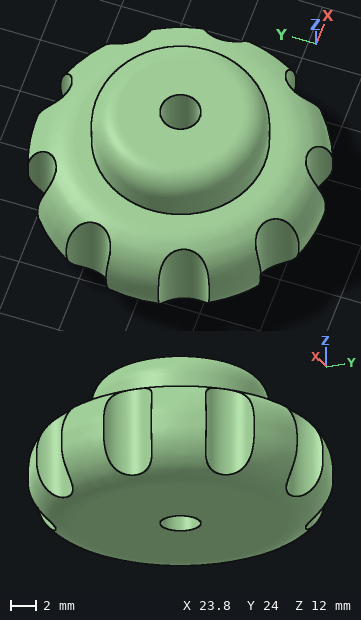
import cadquery as cq

wheel_diameter = 24.0
wheel_height = 8.0
wheel_edge_radius = 3.6

hub_diameter = 14.0
hub_height = 4.0
hub_edge_radius = 2.0

bore_diameter = 3.2

scallop_count = 9
scallop_diameter = 4.0
scallop_circle_radius = wheel_diameter / 2

total_height = wheel_height + hub_height


def make_wheel():
    """Disc with both rims rounded, leaving a narrow straight band between them."""
    disc = cq.Workplane("XY").circle(wheel_diameter / 2).extrude(wheel_height)
    return disc.edges("%CIRCLE").fillet(wheel_edge_radius)


def make_hub():
    """Round boss on top of the wheel with a rounded upper edge."""
    hub = cq.Workplane("XY").workplane(offset=wheel_height).circle(hub_diameter / 2).extrude(hub_height)
    return hub.edges(">Z").fillet(hub_edge_radius)


def make_bore():
    """Cylinder that opens the central hole through wheel and hub."""
    return cq.Workplane("XY").circle(bore_diameter / 2).extrude(total_height)


def make_scallops():
    """Ring of upright cylinders, the first one on the +X axis."""
    return (
        cq.Workplane("XY")
        .polarArray(scallop_circle_radius, 0, 360, scallop_count)
        .circle(scallop_diameter / 2)
        .extrude(wheel_height)
    )


result = make_wheel().cut(make_scallops()).union(make_hub()).cut(make_bore())